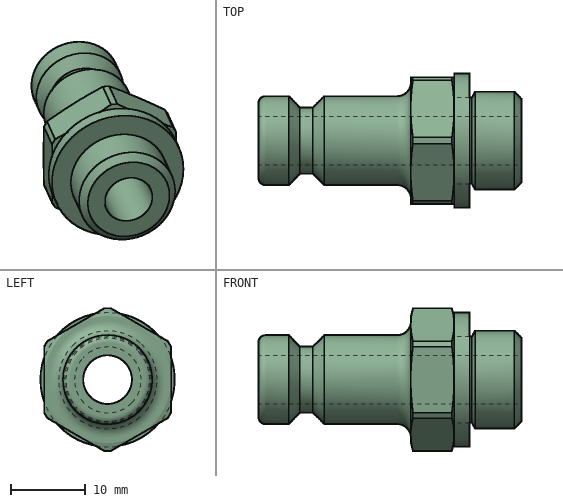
import cadquery as cq
import math

total_length = 35.25
bore_diameter = 6.5

plug_radius = 11.95 / 2
groove_radius = 8.9 / 2
nose_round = 1.0
head_end = 4.1
groove_start = 5.57
groove_end = 7.3
shank_start = 8.85

hex_start = 20.4
hex_length = 5.78
hex_end = hex_start + hex_length
across_flats = 17.0
corner_diameter = 19.15
hex_chamfer_angle = 15.0
shank_fillet = 1.8

seal_thickness = 2.08
seal_diameter = 18.0

thread_radius = 13.15 / 2
undercut_radius = 5.78
undercut_end = 28.6
thread_start = 29.0
thread_chamfer = 1.0


def revolve_about_x(profile):
    return profile.close().revolve(360, (0, 0, 0), (1, 0, 0))


def make_plug_end():
    """Plug profile, flaring into the hexagon face through a concave fillet."""
    diagonal = math.sqrt(0.5)
    nose_middle = (
        nose_round * (1 - diagonal),
        plug_radius - nose_round * (1 - diagonal),
    )
    flare_middle = (
        hex_start - shank_fillet * (1 - diagonal),
        plug_radius + shank_fillet * (1 - diagonal),
    )
    return revolve_about_x(
        cq.Workplane("XY")
        .lineTo(0, plug_radius - nose_round)
        .threePointArc(nose_middle, (nose_round, plug_radius))
        .lineTo(head_end, plug_radius)
        .lineTo(groove_start, groove_radius)
        .lineTo(groove_end, groove_radius)
        .lineTo(shank_start, plug_radius)
        .lineTo(hex_start - shank_fillet, plug_radius)
        .threePointArc(flare_middle, (hex_start, plug_radius + shank_fillet))
        .lineTo(hex_start, 0)
    )


def make_hexagon():
    """Hexagon with corners up and down, trimmed by a round blank with chamfered ends."""
    flat_radius = across_flats / 2
    corner_radius = corner_diameter / 2
    chamfer_length = (corner_radius - flat_radius) * math.tan(math.radians(hex_chamfer_angle))
    prism = (
        cq.Workplane("YZ", origin=(hex_start, 0, 0))
        .polygon(6, across_flats, circumscribed=True)
        .extrude(hex_length)
    )
    blank = revolve_about_x(
        cq.Workplane("XY")
        .moveTo(hex_start, 0)
        .lineTo(hex_start, flat_radius)
        .lineTo(hex_start + chamfer_length, corner_radius)
        .lineTo(hex_end - chamfer_length, corner_radius)
        .lineTo(hex_end, flat_radius)
        .lineTo(hex_end, 0)
    )
    return prism.intersect(blank)


def make_threaded_end():
    """Undercut, followed by the plain thread cylinder with a chamfered end."""
    return revolve_about_x(
        cq.Workplane("XY")
        .moveTo(hex_end, 0)
        .lineTo(hex_end, undercut_radius)
        .lineTo(undercut_end, undercut_radius)
        .lineTo(thread_start, thread_radius)
        .lineTo(total_length - thread_chamfer, thread_radius)
        .lineTo(total_length, thread_radius - thread_chamfer)
        .lineTo(total_length, 0)
    )


def make_fitting():
    bore = cq.Workplane("YZ").circle(bore_diameter / 2).extrude(total_length)
    return make_plug_end().union(make_hexagon()).union(make_threaded_end()).cut(bore)


def make_seal_ring():
    """Flat ring seated on the undercut, touching the hexagon face."""
    return (
        cq.Workplane("YZ", origin=(hex_end, 0, 0))
        .circle(seal_diameter / 2)
        .circle(undercut_radius)
        .extrude(seal_thickness)
    )


fitting = make_fitting()
seal_ring = make_seal_ring()

result = cq.Compound.makeCompound([fitting.val(), seal_ring.val()])